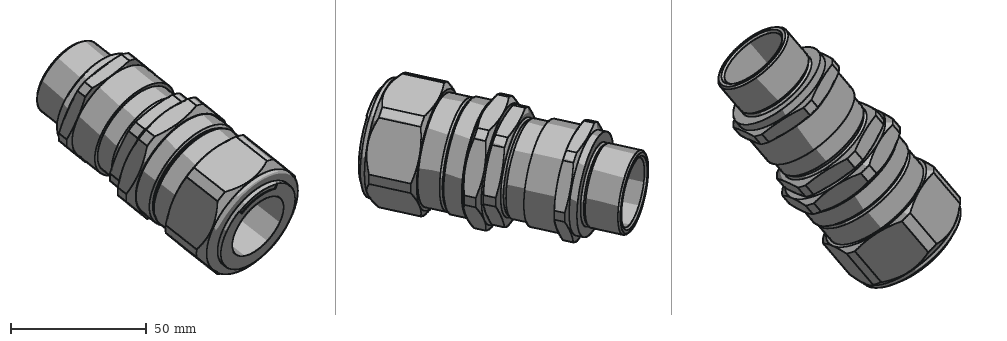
import cadquery as cq
import math


total_length = 101.3

thread_radius = 16.0
thread_end = 14.4
entry_chamfer = 0.7
thread_relief_depth = 0.8
thread_relief_width = 0.9
relief_cone_rise = 0.8

washer_start = 15.3
washer_radius = 20.0
entry_nut_start = 18.3
entry_nut_end = 23.9
entry_body_radius = 20.5
entry_body_end = 35.9

sleeve_radius = 19.0
sleeve_end = 44.7
sleeve_chamfer_length = 1.3
sleeve_chamfer_depth = 0.9
middle_nut_start = 45.5
middle_nut_end = 51.6

clamp_nut_end = 59.3
ring_start = 59.6
ring_radius = 22.3
ring_end = 66.8
ring_edge = 0.2
groove_start = 67.1
groove_end = 67.5
groove_radius = 21.1
rear_body_start = 68.4
rear_body_radius = 21.7
rear_nut_start = 76.9
rear_nut_end = 97.3

collar_radius = 22.8
collar_end = 99.3
collar_fillet = 1.0
seal_radius = 19.0
pad_thickness = 0.3
pad_inner_radius = 16.8
pad_angle = 61.0
seal_end = total_length - pad_thickness

small_flats = 41.2
small_corners = 45.4
large_flats = 46.0
large_corners = 50.8
slim_chamfer_angle = 16.0
nut_chamfer_angle = 30.0
rear_chamfer_angle = 46.0

bore_radius = 13.2
bore_chamfer = 0.8


def revolve_about_x(points):
    """Turn an (x, radius) outline about the X axis."""
    return cq.Workplane("XY").polyline(points).close().revolve(360, (0, 0, 0), (1, 0, 0))


def hex_nut(start, end, flats, corners, front_angle, front_radius, back_angle, back_radius):
    """Hexagon with flats facing +Z and -Z, corners turned round and both ends chamfered by cones."""
    prism = (
        cq.Workplane("YZ", origin=(start, 0, 0))
        .polygon(6, flats / math.cos(math.pi / 6))
        .extrude(end - start)
    )
    corner_radius = corners / 2
    front_length = (corner_radius - front_radius) * math.tan(math.radians(front_angle))
    back_length = (corner_radius - back_radius) * math.tan(math.radians(back_angle))
    envelope = revolve_about_x([
        (start, 0),
        (start, front_radius),
        (start + front_length, corner_radius),
        (end - back_length, corner_radius),
        (end, back_radius),
        (end, 0),
    ])
    return prism.intersect(envelope)


def turned_core():
    """All the round sections, from the entry thread to the outer seal."""
    thread_root = thread_radius - thread_relief_depth
    sleeve_neck = sleeve_radius - sleeve_chamfer_depth
    neck_cone_radius = sleeve_neck + relief_cone_rise
    return revolve_about_x([
        (0, 0),
        (0, thread_radius - entry_chamfer),
        (entry_chamfer, thread_radius),
        (thread_end - thread_relief_width, thread_radius),
        (thread_end, thread_root),
        (washer_start, thread_root + relief_cone_rise),
        (washer_start, washer_radius),
        (entry_nut_end, washer_radius),
        (entry_nut_end, entry_body_radius),
        (entry_body_end, entry_body_radius),
        (entry_body_end, sleeve_radius),
        (sleeve_end - sleeve_chamfer_length, sleeve_radius),
        (sleeve_end, sleeve_neck),
        (middle_nut_start, neck_cone_radius),
        (clamp_nut_end, neck_cone_radius),
        (clamp_nut_end, ring_radius - ring_edge),
        (ring_start, ring_radius),
        (ring_end - ring_edge, ring_radius),
        (groove_start, groove_radius),
        (groove_end, groove_radius),
        (rear_body_start, rear_body_radius),
        (rear_nut_start, rear_body_radius),
        (rear_nut_start, seal_radius),
        (seal_end, seal_radius),
        (seal_end, 0),
    ])


def collar():
    """Plain disc behind the rear nut, rounded on its outer rim."""
    return (
        cq.Workplane("YZ", origin=(rear_nut_end, 0, 0))
        .circle(collar_radius)
        .extrude(collar_end - rear_nut_end)
        .faces(">X")
        .edges()
        .fillet(collar_fillet)
    )


def seal_pad():
    """Thin raised sector on the end face of the seal, centred on +Z."""
    def rim_point(radius, angle):
        turn = math.radians(angle)
        return (radius * math.sin(turn), radius * math.cos(turn))

    half_angle = pad_angle / 2
    return (
        cq.Workplane("YZ", origin=(seal_end, 0, 0))
        .moveTo(*rim_point(pad_inner_radius, -half_angle))
        .lineTo(*rim_point(seal_radius, -half_angle))
        .threePointArc((0, seal_radius), rim_point(seal_radius, half_angle))
        .lineTo(*rim_point(pad_inner_radius, half_angle))
        .threePointArc((0, pad_inner_radius), rim_point(pad_inner_radius, -half_angle))
        .close()
        .extrude(pad_thickness)
    )


def bore():
    """Through bore, chamfered at the entry."""
    return revolve_about_x([
        (0, 0),
        (0, bore_radius + bore_chamfer),
        (bore_chamfer, bore_radius),
        (total_length, bore_radius),
        (total_length, 0),
    ])


entry_nut = hex_nut(
    entry_nut_start, entry_nut_end, small_flats, small_corners,
    slim_chamfer_angle, washer_radius, slim_chamfer_angle, entry_body_radius,
)
middle_nut = hex_nut(
    middle_nut_start, middle_nut_end, small_flats, small_corners,
    slim_chamfer_angle, small_flats / 2, slim_chamfer_angle, small_flats / 2,
)
clamp_nut = hex_nut(
    middle_nut_end, clamp_nut_end, large_flats, large_corners,
    nut_chamfer_angle, large_flats / 2, nut_chamfer_angle, ring_radius,
)
rear_nut = hex_nut(
    rear_nut_start, rear_nut_end, large_flats, large_corners,
    nut_chamfer_angle, large_flats / 2, rear_chamfer_angle, collar_radius,
)

result = turned_core()
for section in (entry_nut, middle_nut, clamp_nut, rear_nut, collar(), seal_pad()):
    result = result.union(section)
result = result.cut(bore())